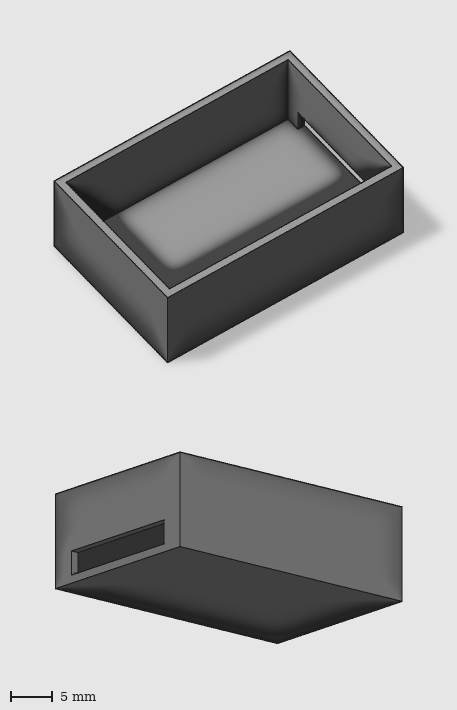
import cadquery as cq

width = 23.0
length = 35.0
height = 11.83

wall = 1.0
floor = 1.0

window_margin = 2.0
window_height = 3.0
window_width = width - 2 * (wall + window_margin)


def open_box():
    """Tray centred on the Z axis, standing on Z = 0 and open at the top."""
    outer = cq.Workplane("XY").box(width, length, height, centered=(True, True, False))
    cavity = (
        cq.Workplane("XY")
        .workplane(offset=floor)
        .rect(width - 2 * wall, length - 2 * wall)
        .extrude(height - floor)
    )
    return outer.cut(cavity)


def window():
    """Block that cuts the rectangular opening through the +Y wall."""
    return (
        cq.Workplane("XY")
        .box(window_width, wall, window_height, centered=(True, True, False))
        .translate((0, (length - wall) / 2, floor))
    )


result = open_box().cut(window())